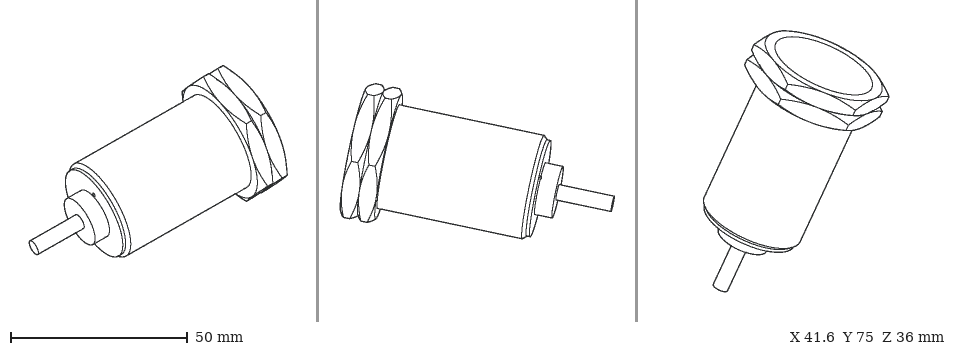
import cadquery as cq
import math

total_length = 75.0

nut_count = 2
nut_thickness = 5.0
nut_across_flats = 36.0
nut_chamfer_angle = 30.0

barrel_diameter = 30.0
barrel_length = 53.0
barrel_chamfer = 1.05
cap_diameter = barrel_diameter - 2 * barrel_chamfer
cap_length = 1.0
gland_diameter = barrel_diameter / 2
gland_length = 5.0
cable_diameter = 4.5

lamp_diameter = 1.05
lamp_height = 0.4
lamp_offset = 8.6

cap_end = barrel_length + cap_length
gland_end = cap_end + gland_length


def cylinder(diameter, start, end):
    """Cylinder on the sensor axis between two distances behind the sensing face."""
    plane = cq.Workplane("XZ", origin=(0, -start, 0))
    return plane.circle(diameter / 2).extrude(end - start)


def make_lamp():
    """Ball sunk into the end cap so that only a shallow dome stands out."""
    radius = lamp_diameter / 2
    sphere_radius = (radius**2 + lamp_height**2) / (2 * lamp_height)
    center_depth = cap_end + lamp_height - sphere_radius
    ball = cq.Workplane("XY").sphere(sphere_radius)
    return ball.translate((0, -center_depth, lamp_offset))


def make_sensor():
    """Barrel with a chamfered rear edge, then end cap, lamp, gland and cable."""
    barrel = cylinder(barrel_diameter, 0, barrel_length).faces("<Y").chamfer(barrel_chamfer)
    cap = cylinder(cap_diameter, barrel_length, cap_end)
    gland = cylinder(gland_diameter, cap_end, gland_end)
    cable = cylinder(cable_diameter, gland_end, total_length)
    return barrel.union(cap).union(make_lamp()).union(gland).union(cable)


def make_nut(start):
    """Hexagon nut with conically chamfered corners on both faces and a plain bore."""
    corner_radius = nut_across_flats / 2 / math.cos(math.pi / 6)
    face_radius = nut_across_flats / 2
    chamfer_depth = (corner_radius - face_radius) * math.tan(math.radians(nut_chamfer_angle))
    end = start + nut_thickness
    hexagon = (
        cq.Workplane("XZ", origin=(0, -start, 0))
        .polygon(6, 2 * corner_radius)
        .extrude(nut_thickness)
    )
    corner_envelope = (
        cq.Workplane("XY")
        .moveTo(0, -start)
        .lineTo(face_radius, -start)
        .lineTo(corner_radius, -start - chamfer_depth)
        .lineTo(corner_radius, -end + chamfer_depth)
        .lineTo(face_radius, -end)
        .lineTo(0, -end)
        .close()
        .revolve(360, (0, 0, 0), (0, 1, 0))
    )
    return hexagon.intersect(corner_envelope).cut(cylinder(barrel_diameter, start, end))


sensor = make_sensor()
nuts = [make_nut(index * nut_thickness) for index in range(nut_count)]

result = cq.Compound.makeCompound([sensor.val(), *[nut.val() for nut in nuts]])